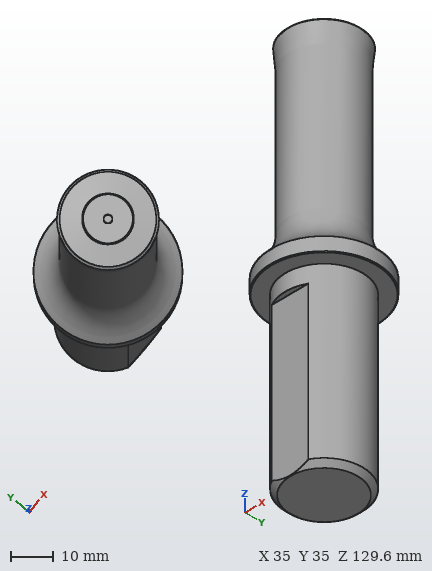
import cadquery as cq
import math

TOTAL_HEIGHT = 129.6
CORE_PROTRUSION = 0.1
FACE_SLOPE_DROP = 0.5
CROWN_HEIGHT = TOTAL_HEIGHT - CORE_PROTRUSION
RIM_HEIGHT = CROWN_HEIGHT - FACE_SLOPE_DROP

SHANK_RADIUS = 25.4 / 2
SHANK_CHAMFER = 1.7
FLAT_DISTANCE = 11.1
FLAT_TOP = 52.2

FLANGE_RADIUS = 35.0 / 2
FLANGE_BOTTOM = 57.5
FLANGE_EDGE_CHAMFER = 0.3
FLANGE_TOP = 62.1
FLANGE_BEVEL = 1.5
NECK_RADIUS = 22.8 / 2
SWEEP_END_ANGLE = math.radians(45)

HEAD_BASE = 121.8
HEAD_RADIUS = 24.0 / 2
HEAD_CHAMFER = 0.6

CORE_RADIUS = 12.2 / 2
CORE_CHAMFER = 0.3
CORE_BOTTOM = HEAD_BASE
DIMPLE_RADIUS = 2.1 / 2
DIMPLE_DEPTH = 0.6


def make_turned_body():
    """Revolve the half profile of shank, flange, neck and crowned head about Z."""
    bevel_radius = FLANGE_RADIUS - FLANGE_BEVEL
    bevel_top = FLANGE_TOP + FLANGE_BEVEL
    sweep_radius = (bevel_radius - NECK_RADIUS) / (1 - math.cos(SWEEP_END_ANGLE))
    sweep_top = bevel_top + sweep_radius * math.sin(SWEEP_END_ANGLE)
    middle_angle = SWEEP_END_ANGLE / 2
    sweep_middle = (
        NECK_RADIUS + sweep_radius * (1 - math.cos(middle_angle)),
        sweep_top - sweep_radius * math.sin(middle_angle),
    )
    profile = (
        cq.Workplane("XZ")
        .lineTo(SHANK_RADIUS - SHANK_CHAMFER, 0)
        .lineTo(SHANK_RADIUS, SHANK_CHAMFER)
        .lineTo(SHANK_RADIUS, FLANGE_BOTTOM)
        .lineTo(FLANGE_RADIUS - FLANGE_EDGE_CHAMFER, FLANGE_BOTTOM)
        .lineTo(FLANGE_RADIUS, FLANGE_BOTTOM + FLANGE_EDGE_CHAMFER)
        .lineTo(FLANGE_RADIUS, FLANGE_TOP)
        .lineTo(bevel_radius, bevel_top)
        .threePointArc(sweep_middle, (NECK_RADIUS, sweep_top))
        .lineTo(NECK_RADIUS, HEAD_BASE)
        .lineTo(HEAD_RADIUS, RIM_HEIGHT - HEAD_CHAMFER)
        .lineTo(HEAD_RADIUS - HEAD_CHAMFER, RIM_HEIGHT)
        .lineTo(CORE_RADIUS, CROWN_HEIGHT)
        .lineTo(0, CROWN_HEIGHT)
        .close()
    )
    return profile.revolve(360, (0, 0, 0), (0, 1, 0))


def make_flat_cutter():
    """Block that mills the clamping flat on the -Y side of the shank."""
    return cq.Workplane("XY").box(
        2 * SHANK_RADIUS, SHANK_RADIUS, FLAT_TOP, centered=(True, False, False)
    ).translate((0, -FLAT_DISTANCE - SHANK_RADIUS, 0))


def make_core_pocket():
    """Blind round recess in the head that holds the core."""
    return (
        cq.Workplane("XY")
        .workplane(offset=CORE_BOTTOM)
        .circle(CORE_RADIUS)
        .extrude(TOTAL_HEIGHT - CORE_BOTTOM)
    )


def make_holder():
    return make_turned_body().cut(make_flat_cutter()).cut(make_core_pocket())


def make_core():
    """Round core standing slightly proud of the head, with a shallow dimple in its centre."""
    return (
        cq.Workplane("XY")
        .workplane(offset=CORE_BOTTOM)
        .circle(CORE_RADIUS)
        .extrude(TOTAL_HEIGHT - CORE_BOTTOM)
        .faces(">Z")
        .chamfer(CORE_CHAMFER)
        .faces(">Z")
        .workplane()
        .circle(DIMPLE_RADIUS)
        .cutBlind(-DIMPLE_DEPTH)
    )


holder = make_holder()
core = make_core()
result = cq.Compound.makeCompound([holder.val(), core.val()])